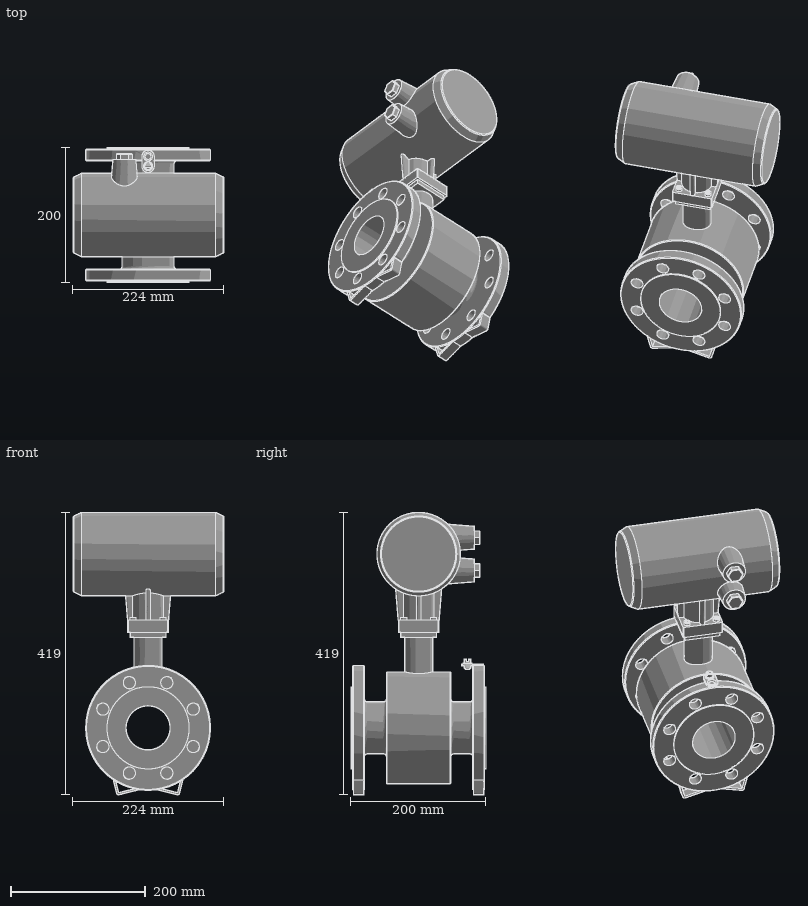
import cadquery as cq
import math

face_to_face = 200.0
bore_dia = 65.0
raised_face_dia = 122.0
raised_face_height = 2.0
flange_dia = 185.0
flange_thickness = 17.5
flange_chamfer = 1.3
neck_dia = 77.5
neck_fillet = 4.0
body_dia = 166.5
body_length = 96.0
body_chamfer = 1.3
flange_outer_y = face_to_face / 2 - raised_face_height
flange_inner_y = flange_outer_y - flange_thickness
flange_mid_y = (flange_outer_y + flange_inner_y) / 2

bolt_count = 8
bolt_hole_dia = 18.0
bolt_circle_dia = 145.0

foot_bottom_z = -99.5
foot_strip = 3.5
foot_width = 15.5
foot_bend_x = 43.5
foot_tilt = 14
foot_outer_leg = 19.5
foot_inner_leg = 33.5

total_height = 419.0
housing_dia = 124.0
housing_length = 224.0
housing_offset_x = 1.0
housing_cone_length = 12.5
housing_rim_dia = 113.0
housing_end_dia = 110.0
housing_axis_z = foot_bottom_z + total_height - housing_dia / 2

stem_dia = 42.0
lower_plate_side = 53.2
lower_plate_z = 134.0
upper_plate_side = 60.5
upper_plate_z = 141.5
upper_plate_top_z = 159.5
plate_edge_chamfer = 1.3
pedestal_dia = 46.0
rib_width = 6.5
rib_base_reach = 30.5
rib_slope = 0.08

plate_screw_offset = 22.0
plate_screw_dia = 9.2
plate_screw_height = 4.0
plate_screw_socket_dia = 5.5
plate_screw_socket_depth = 2.0

gland_x = -35.0
gland_spacing = 48.5
gland_end_y = 82.5
gland_end_dia = 34.5
gland_length = 50.3
gland_draft = 4.5
plug_sides = 6
plug_flats = 20.5
plug_height = 8.5
plug_chamfer = 1.0

strap_width = 18.5
strap_thickness = 3.0
strap_bottom_z = 91.8
strap_hole_y = 86.7
strap_hole_dia = 8.0
strap_countersink_dia = 13.0
strap_countersink_angle = 90
strap_screw_y = 72.5
strap_screw_dia = 10.0
strap_screw_top_z = 102.0
strap_screw_slot_width = 3.5
strap_screw_slot_depth = 3.5
strap_washer_dia = 13.5
strap_washer_thickness = 1.5
strap_nut_bottom_z = 86.5
strap_nut_chamfer = 2.5


def cylinder_y(diameter, y_start, y_end):
    """Cylinder on the tube axis from y_start to y_end."""
    sketch = cq.Workplane("XZ", origin=(0, y_start, 0)).circle(diameter / 2)
    return sketch.extrude(y_start - y_end)


def cylinder_z(diameter, x, y, z_start, z_end):
    """Vertical cylinder from z_start to z_end."""
    return cq.Workplane("XY", origin=(x, y, z_start)).circle(diameter / 2).extrude(z_end - z_start)


def make_tube():
    """Solid of revolution with body, filleted necks and flanges; the bore is cut last."""
    body = cylinder_y(body_dia, -body_length / 2, body_length / 2).edges().chamfer(body_chamfer)
    neck_r = neck_dia / 2
    neck_start = body_length / 2
    neck = (
        cq.Workplane("XY")
        .moveTo(0, 0)
        .lineTo(neck_r + neck_fillet, 0)
        .lineTo(neck_r + neck_fillet, neck_start)
        .radiusArc((neck_r, neck_start + neck_fillet), neck_fillet)
        .lineTo(neck_r, flange_inner_y - neck_fillet)
        .radiusArc((neck_r + neck_fillet, flange_inner_y), neck_fillet)
        .lineTo(0, flange_inner_y)
        .close()
        .revolve(360, (0, 0), (0, 1))
    )
    flange = cylinder_y(flange_dia, flange_inner_y, flange_outer_y).edges().chamfer(flange_chamfer)
    raised_face = cylinder_y(raised_face_dia, flange_outer_y, face_to_face / 2)
    end = neck.union(flange).union(raised_face)
    return body.union(end).union(end.mirror("XZ"))


def make_feet():
    """Four right-angle strips, two under each flange, tilted outward."""
    foot = (
        cq.Workplane("XZ")
        .moveTo(0, 0)
        .lineTo(0, foot_outer_leg)
        .lineTo(foot_strip, foot_outer_leg)
        .lineTo(foot_strip, 0)
        .radiusArc((0, -foot_strip), foot_strip)
        .lineTo(-foot_inner_leg, -foot_strip)
        .lineTo(-foot_inner_leg, 0)
        .close()
        .extrude(foot_width / 2, both=True)
        .rotate((0, 0, 0), (0, 1, 0), foot_tilt)
        .translate((foot_bend_x, flange_mid_y, foot_bottom_z + foot_strip))
    )
    pair = foot.union(foot.mirror("YZ"))
    return pair.union(pair.mirror("XZ"))


def make_housing():
    """Cylinder with coned ends and a small bevel at each end face."""
    half = housing_length / 2
    rim_bevel = (housing_rim_dia - housing_end_dia) / 2
    outline = [
        (-half, 0),
        (-half, housing_end_dia / 2),
        (-half + rim_bevel, housing_rim_dia / 2),
        (-half + housing_cone_length, housing_dia / 2),
        (half - housing_cone_length, housing_dia / 2),
        (half - rim_bevel, housing_rim_dia / 2),
        (half, housing_end_dia / 2),
        (half, 0),
    ]
    solid = cq.Workplane("XY").polyline(outline).close().revolve(360, (0, 0), (1, 0))
    return solid.translate((housing_offset_x, 0, housing_axis_z))


def make_plate(side, z_start, z_end):
    """Square plate centred on the stem."""
    return cq.Workplane("XY", origin=(0, 0, z_start)).rect(side, side).extrude(z_end - z_start)


def make_rib():
    """Rib along both X directions, rising into the housing, with leaning full-round outer edges."""
    height = housing_axis_z - housing_dia / 4 - upper_plate_top_z
    base_length = 2 * rib_base_reach
    top_length = base_length + 2 * rib_slope * height
    return (
        cq.Workplane("XY", origin=(0, 0, upper_plate_top_z))
        .slot2D(base_length, rib_width)
        .workplane(offset=height)
        .slot2D(top_length, rib_width)
        .loft(ruled=True)
    )


def make_plate_screw(x, y):
    """Cap screw with a round socket."""
    top_z = upper_plate_top_z + plate_screw_height
    head = cylinder_z(plate_screw_dia, x, y, upper_plate_top_z, top_z)
    return head.cut(cylinder_z(plate_screw_socket_dia, x, y, top_z - plate_screw_socket_depth, top_z))


def make_stem():
    """Round stem, two plates, pedestal, crossed ribs and four corner screws."""
    stem = cylinder_z(stem_dia, 0, 0, body_dia / 4, lower_plate_z)
    stem = stem.union(make_plate(lower_plate_side, lower_plate_z, upper_plate_z))
    upper_plate = make_plate(upper_plate_side, upper_plate_z, upper_plate_top_z)
    stem = stem.union(upper_plate.edges("|Z").chamfer(plate_edge_chamfer))
    stem = stem.union(cylinder_z(pedestal_dia, 0, 0, upper_plate_top_z, housing_axis_z))
    rib = make_rib()
    stem = stem.union(rib).union(rib.rotate((0, 0, 0), (0, 0, 1), 90))
    for x in (-plate_screw_offset, plate_screw_offset):
        for y in (-plate_screw_offset, plate_screw_offset):
            stem = stem.union(make_plate_screw(x, y))
    return stem


def make_gland(z):
    """Tapered gland growing toward the housing, closed by a hexagonal plug."""
    gland = (
        cq.Workplane("XZ", origin=(gland_x, gland_end_y, z))
        .circle(gland_end_dia / 2)
        .extrude(gland_length, taper=-gland_draft)
    )
    plug_corners = plug_flats / math.cos(math.pi / plug_sides)
    plug = (
        cq.Workplane("XZ", origin=(gland_x, gland_end_y, z))
        .polygon(plug_sides, plug_corners)
        .extrude(-plug_height)
        .faces(">Y")
        .chamfer(plug_chamfer)
    )
    return gland.union(plug)


def make_strap():
    """Earthing strap with a countersunk hole over the flange and a slotted screw beyond it."""
    hole_spacing = strap_hole_y - strap_screw_y
    strap_top_z = strap_bottom_z + strap_thickness
    strap = (
        cq.Workplane("XY", origin=(0, (strap_hole_y + strap_screw_y) / 2, strap_bottom_z))
        .slot2D(hole_spacing + strap_width, strap_width, 90)
        .extrude(strap_thickness)
        .faces(">Z")
        .workplane(origin=(0, strap_hole_y, strap_top_z))
        .cskHole(strap_hole_dia, strap_countersink_dia, strap_countersink_angle)
    )
    washer_top_z = strap_top_z + strap_washer_thickness
    washer = cylinder_z(strap_washer_dia, 0, strap_screw_y, strap_top_z, washer_top_z)
    head = cylinder_z(strap_screw_dia, 0, strap_screw_y, washer_top_z, strap_screw_top_z)
    slot = cq.Workplane("XY", origin=(0, strap_screw_y, strap_screw_top_z)).rect(
        strap_screw_dia, strap_screw_slot_width
    )
    head = head.cut(slot.extrude(-strap_screw_slot_depth))
    nut = cylinder_z(strap_screw_dia, 0, strap_screw_y, strap_nut_bottom_z, strap_bottom_z)
    nut = nut.faces("<Z").chamfer(strap_nut_chamfer)
    return strap.union(washer).union(head).union(nut)


def make_bolt_holes():
    """Bolt holes through the flanges only, clear of the body between them."""
    first_angle = 180 / bolt_count
    holes = (
        cq.Workplane("XZ", origin=(0, flange_outer_y, 0))
        .polarArray(bolt_circle_dia / 2, first_angle, 360, bolt_count)
        .circle(bolt_hole_dia / 2)
        .extrude(flange_thickness)
    )
    return holes.union(holes.mirror("XZ"))


meter = make_tube().cut(make_bolt_holes())
meter = meter.union(make_feet())
meter = meter.union(make_stem())
meter = meter.union(make_housing())
for side in (-1, 1):
    meter = meter.union(make_gland(housing_axis_z + side * gland_spacing / 2))
meter = meter.union(make_strap())
result = meter.cut(cylinder_y(bore_dia, -face_to_face / 2, face_to_face / 2))